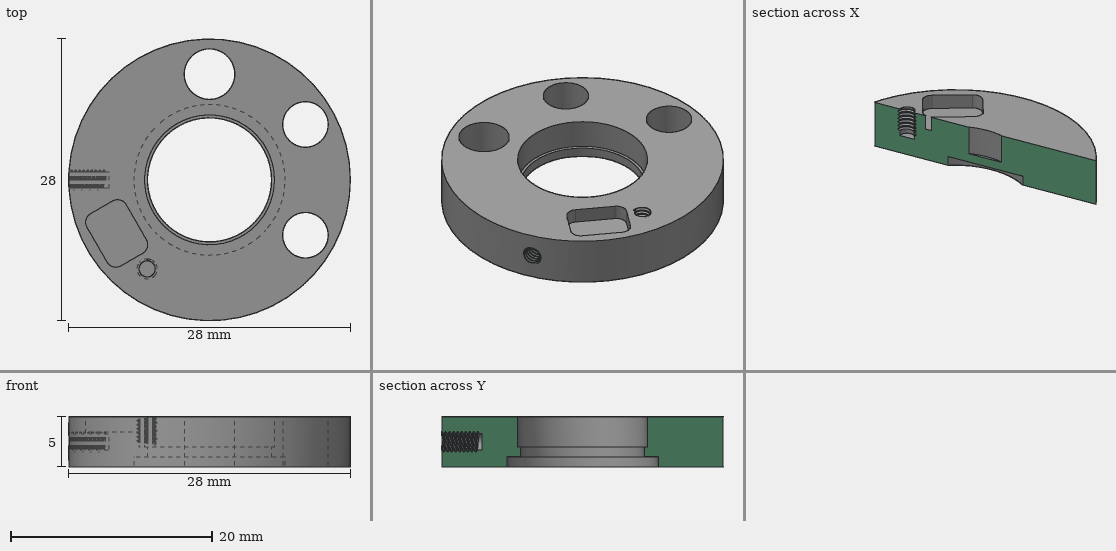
import cadquery as cq
import math

outer_diameter = 28.0
thickness = 5.0

lip_diameter = 12.3
seat_diameter = 12.9
seat_depth = 3.0
recess_diameter = 15.0
recess_depth = 1.0

through_holes = [
    (5.0, 10.5, 90.0),
    (4.5, 11.0, 30.0),
    (4.5, 11.0, -30.0),
]

pocket_distance = 10.65
pocket_angle = 210.0
pocket_width = 4.5
pocket_length = 6.0
pocket_corner_radius = 1.0
pocket_depth = 1.5

thread_major_diameter = 2.0
thread_minor_diameter = 1.6
thread_pitch = 0.4
thread_root_flat = thread_pitch / 8
thread_flank_angle = 30.0
thread_overlap = 0.05
top_thread_distance = 10.8
top_thread_angle = 235.0
top_thread_depth = 3.0
top_thread_lead_in = 0.1
side_thread_depth = 4.0
side_thread_lead_in = -0.1


def polar_point(distance, angle):
    """XY point at a distance from the ring axis and an angle in degrees."""
    return distance * math.cos(math.radians(angle)), distance * math.sin(math.radians(angle))


def disc(diameter, bottom, height):
    """Cylinder about the ring axis."""
    return cq.Workplane("XY").workplane(offset=bottom).circle(diameter / 2).extrude(height)


def make_ring():
    """Ring with its stepped bore."""
    ring = disc(outer_diameter, 0, thickness)
    ring = ring.cut(disc(lip_diameter, 0, thickness))
    ring = ring.cut(disc(seat_diameter, thickness - seat_depth, seat_depth))
    return ring.cut(disc(recess_diameter, 0, recess_depth))


def make_through_hole(diameter, distance, angle):
    """Cutter for one hole through the ring."""
    return disc(diameter, 0, thickness).translate(polar_point(distance, angle) + (0,))


def make_pocket():
    """Cutter for the rounded rectangular pocket."""
    pocket = cq.Workplane("XY").rect(pocket_width, pocket_length).extrude(pocket_depth)
    pocket = pocket.edges("|Z").fillet(pocket_corner_radius)
    pocket = pocket.translate((pocket_distance, 0, thickness - pocket_depth))
    return pocket.rotate((0, 0, 0), (0, 0, 1), pocket_angle)


def make_thread_groove(length):
    """Helical V-groove cutter about Z, rising from Z = 0."""
    major_radius = thread_major_diameter / 2
    inner_radius = thread_minor_diameter / 2 - thread_overlap
    root_half = thread_root_flat / 2
    mouth_half = root_half + (major_radius - inner_radius) * math.tan(math.radians(thread_flank_angle))
    path = cq.Workplane(obj=cq.Wire.makeHelix(thread_pitch, length, inner_radius))
    profile = cq.Workplane("XZ").polyline([
        (inner_radius, -mouth_half),
        (major_radius, -root_half),
        (major_radius, root_half),
        (inner_radius, mouth_half),
    ]).close()
    return profile.sweep(path, isFrenet=True)


def cut_threaded_hole(body, depth, lead_in, place):
    """Cut a blind threaded hole; place moves a cutter from the origin to the hole mouth."""
    core = cq.Workplane("XY").circle(thread_minor_diameter / 2).extrude(-depth)
    helix_start = thread_pitch - depth
    groove = make_thread_groove(-lead_in - helix_start).translate((0, 0, helix_start))
    return body.cut(place(core)).cut(place(groove))


def place_in_top(cutter):
    """Move a cutter to the top face."""
    return cutter.translate(polar_point(top_thread_distance, top_thread_angle) + (thickness,))


def place_in_side(cutter):
    """Turn a cutter to enter the rim from -X at mid thickness."""
    turned = cutter.rotate((0, 0, 0), (0, 1, 0), -90)
    return turned.translate((-outer_diameter / 2, 0, thickness / 2))


result = make_ring().cut(make_pocket())
for hole in through_holes:
    result = result.cut(make_through_hole(*hole))
result = cut_threaded_hole(result, top_thread_depth, top_thread_lead_in, place_in_top)
result = cut_threaded_hole(result, side_thread_depth, side_thread_lead_in, place_in_side)